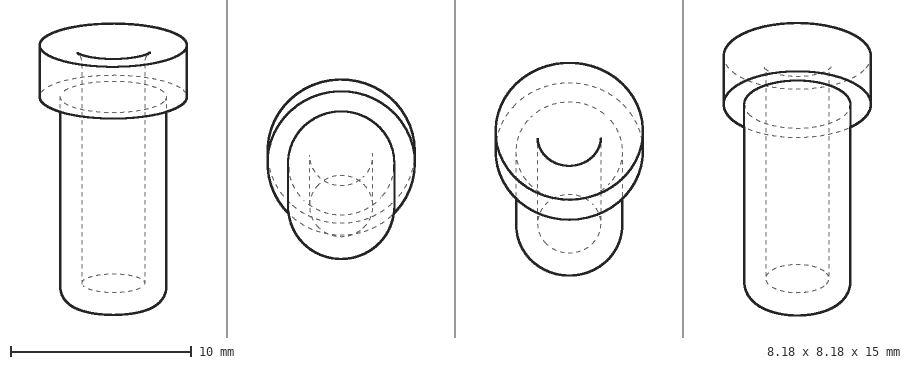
import cadquery as cq

total_height = 15.0
head_diameter = 8.18
head_height = 3.0
shank_diameter = 5.9
bore_diameter = 3.5
edge_radius = 1.0

wall_thickness = (shank_diameter - bore_diameter) / 2
bore_depth = total_height - wall_thickness
shank_height = total_height - head_height


def make_shank():
    """Round shank standing on Z = 0 with a rounded lower end."""
    shank = cq.Workplane("XY").circle(shank_diameter / 2).extrude(shank_height)
    return shank.faces("<Z").edges().fillet(edge_radius)


def make_head():
    """Plain cylindrical head on top of the shank."""
    return cq.Workplane("XY").workplane(offset=shank_height).circle(head_diameter / 2).extrude(head_height)


def cut_bore(body):
    """Blind flat-bottomed bore from the top, with a rounded mouth."""
    bored = body.faces(">Z").workplane().hole(bore_diameter, bore_depth)
    bore_mouth = bored.faces(">Z").edges(cq.selectors.RadiusNthSelector(0))
    return bore_mouth.fillet(edge_radius)


result = cut_bore(make_shank().union(make_head()))